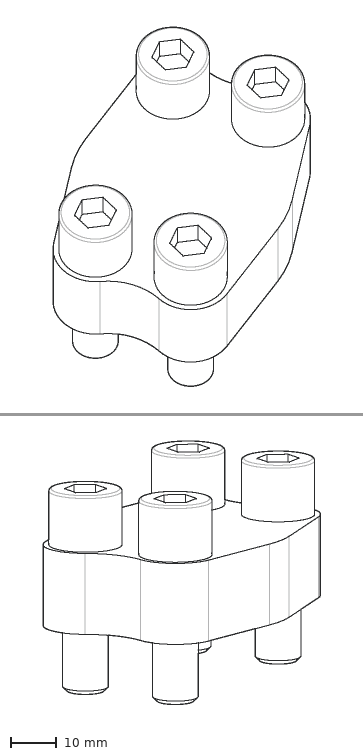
import cadquery as cq
import math

plate_length = 66.0
plate_width = 48.9
plate_thickness = 18.0
bolt_spacing_x = 22.2
bolt_spacing_y = 47.5
scoop_radius = 15.0

head_diameter = 16.0
head_height = 12.5
head_edge_radius = 0.5
shank_diameter = 10.0
shank_projection = 14.5
tip_chamfer = 1.0
socket_across_flats = 8.0
socket_depth = 5.0

bolt_x = bolt_spacing_x / 2
bolt_y = bolt_spacing_y / 2
corner_radius = plate_length / 2 - bolt_y
flank_radius = plate_width / 2


def make_plate():
    bolt_distance = math.hypot(bolt_x, bolt_y)
    side_angle = math.atan2(bolt_y, bolt_x) - math.acos((flank_radius - corner_radius) / bolt_distance)
    flank_x = flank_radius * math.cos(side_angle)
    flank_y = flank_radius * math.sin(side_angle)
    side_x = bolt_x + corner_radius * math.cos(side_angle)
    side_y = bolt_y + corner_radius * math.sin(side_angle)

    center_distance = scoop_radius + corner_radius
    scoop_center_y = bolt_y + math.sqrt(center_distance**2 - bolt_x**2)
    scoop_x = bolt_x * scoop_radius / center_distance
    scoop_y = scoop_center_y - (scoop_center_y - bolt_y) * scoop_radius / center_distance
    scoop_bottom_y = scoop_center_y - scoop_radius
    end_y = plate_length / 2

    return (
        cq.Workplane("XY")
        .moveTo(flank_x, -flank_y)
        .threePointArc((flank_radius, 0), (flank_x, flank_y))
        .lineTo(side_x, side_y)
        .threePointArc((bolt_x, end_y), (scoop_x, scoop_y))
        .threePointArc((0, scoop_bottom_y), (-scoop_x, scoop_y))
        .threePointArc((-bolt_x, end_y), (-side_x, side_y))
        .lineTo(-flank_x, flank_y)
        .threePointArc((-flank_radius, 0), (-flank_x, -flank_y))
        .lineTo(-side_x, -side_y)
        .threePointArc((-bolt_x, -end_y), (-scoop_x, -scoop_y))
        .threePointArc((0, -scoop_bottom_y), (scoop_x, -scoop_y))
        .threePointArc((bolt_x, -end_y), (side_x, -side_y))
        .close()
        .extrude(plate_thickness)
    )


def make_screw():
    head = (
        cq.Workplane("XY")
        .circle(head_diameter / 2)
        .extrude(head_height)
        .faces(">Z")
        .edges()
        .fillet(head_edge_radius)
    )
    socket = (
        cq.Workplane("XY")
        .workplane(offset=head_height - socket_depth)
        .transformed(rotate=(0, 0, 90))
        .polygon(6, socket_across_flats / math.cos(math.pi / 6))
        .extrude(socket_depth)
    )
    shank = (
        cq.Workplane("XY")
        .circle(shank_diameter / 2)
        .extrude(-(plate_thickness + shank_projection))
        .faces("<Z")
        .edges()
        .chamfer(tip_chamfer)
    )
    return head.cut(socket).union(shank)


result = make_plate()
screw = make_screw()
for x in (-bolt_x, bolt_x):
    for y in (-bolt_y, bolt_y):
        result = result.union(screw.translate((x, y, plate_thickness)))